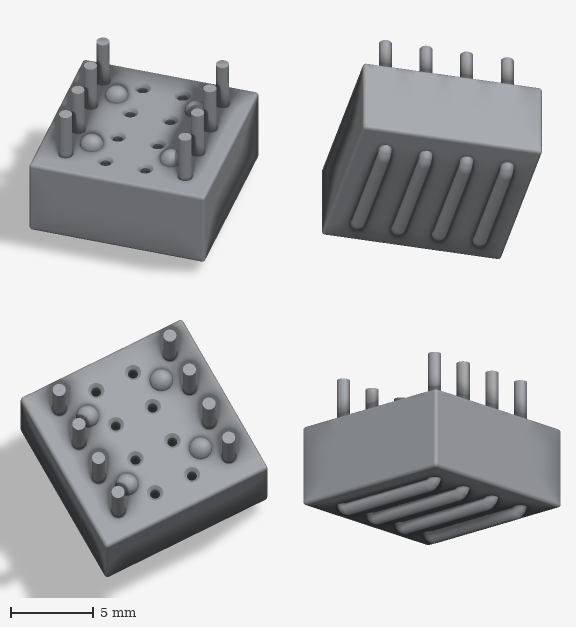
import cadquery as cq

body_width = 11.2
body_height = 5.0
edge_radius = 0.2

pitch = 2.54
grid_count = 4
hole_diameter = 0.6
countersink_diameter = 1.01
countersink_angle = 90.0

wire_diameter = 0.8
leg_projection = 3.0
wire_drop = 0.7
bend_radius = 0.5

dome_height = 0.65
dome_tip_diameter = 0.11

grid_offsets = [(i - (grid_count - 1) / 2) * pitch for i in range(grid_count)]
leg_offset = grid_offsets[-1]
wire_axis_z = wire_diameter / 2 - wire_drop


def make_body():
    """Block standing on z = 0 with all its edges rounded."""
    block = cq.Workplane("XY").box(body_width, body_width, body_height, centered=(True, True, False))
    return block.edges().fillet(edge_radius)


def drill_holes(body):
    """Countersunk through holes at every grid position."""
    centers = [(x, y) for x in grid_offsets for y in grid_offsets]
    top = body.faces(">Z").workplane(origin=(0, 0, body_height))
    return top.pushPoints(centers).cskHole(hole_diameter, countersink_diameter, countersink_angle)


def make_wire(y):
    """U-shaped round wire: two upright legs joined by a crossbar under the body."""
    leg_top = body_height + leg_projection
    bend_top = wire_axis_z + bend_radius
    bar_end = leg_offset - bend_radius
    path = (
        cq.Workplane("XZ", origin=(0, y, 0))
        .moveTo(-leg_offset, leg_top)
        .lineTo(-leg_offset, bend_top)
        .radiusArc((-bar_end, wire_axis_z), -bend_radius)
        .lineTo(bar_end, wire_axis_z)
        .radiusArc((leg_offset, bend_top), -bend_radius)
        .lineTo(leg_offset, leg_top)
    )
    section = cq.Workplane("XY", origin=(-leg_offset, y, leg_top)).circle(wire_diameter / 2)
    return section.sweep(path)


def make_dome(x, y):
    """Boss with a quarter-round side running from the body up to a small flat tip."""
    tip_radius = dome_tip_diameter / 2
    half_profile = (
        cq.Workplane("XZ", origin=(x, y, body_height))
        .lineTo(tip_radius + dome_height, 0)
        .radiusArc((tip_radius, dome_height), -dome_height)
        .lineTo(0, dome_height)
        .close()
    )
    return half_profile.revolve(360, (0, 0, 0), (0, 1, 0))


result = drill_holes(make_body())
for row_y in grid_offsets:
    result = result.union(make_wire(row_y))
for dome_x in (-pitch, pitch):
    for dome_y in (-pitch, pitch):
        result = result.union(make_dome(dome_x, dome_y))